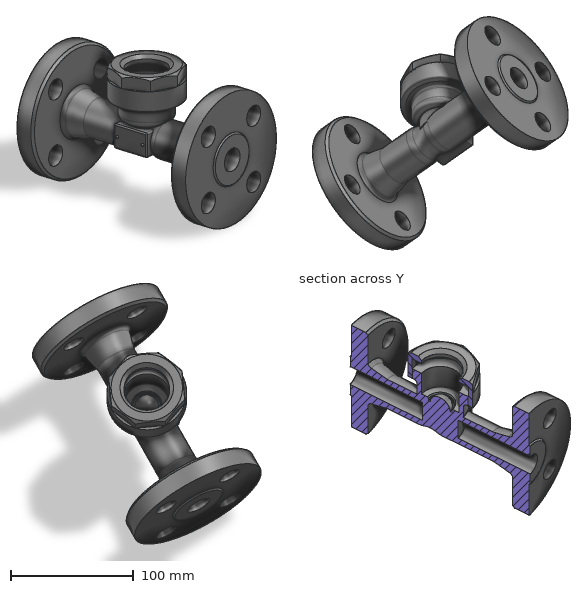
import cadquery as cq
import math

overall_length = 180.0
pipe_diameter = 34.0
flow_bore_diameter = 20.0
flow_bore_depth = 72.0

flange_diameter = 117.0
flange_thickness = 16.7
flange_chamfer = 2.2
raised_face_height = 1.3
raised_face_diameter = 46.0
bolt_hole_diameter = 18.0
bolt_circle_diameter = 82.5
bolt_count = 4

hub_start = 52.5
hub_end = 68.5
hub_end_diameter = 41.4
hub_root_diameter = 47.0

waist_center = 9.9
waist_half_length = 12.2
waist_depth = 2.3

stem_diameter = pipe_diameter
neck_diameter = 47.0
neck_underside = 12.8
bowl_radius = 6.1
flare_start = 29.2
thread_diameter = 56.0
chamber_top = 43.4
chamber_bore_diameter = 37.0
chamber_floor = 19.8

well_rim_diameter = 25.0
well_diameter = 23.0
well_depth = 3.6
dome_diameter = 20.0

pad_width = 34.5
pad_height = 21.8
pad_face_distance = 21.5
pad_chamfer = 1.3
pad_corner_radius = 1.5
rivet_diameter = 2.7
rivet_offset = 13.3

nut_diameter = 65.0
nut_bottom = 32.0
nut_top = 61.0
nut_flats = 8
nut_flats_bottom = 49.7
nut_lip_underside = 54.2
nut_face_diameter = 58.1
nut_face_chamfer_angle = 30.0
nut_bottom_fillet = 0.7
window_diameter = 37.0
window_chamfer = 3.2

pipe_radius = pipe_diameter / 2
raised_face_x = overall_length / 2
flange_front_x = raised_face_x - raised_face_height
flange_back_x = flange_front_x - flange_thickness


def revolve_about_x(profile):
    return profile.close().revolve(360, (0, 0, 0), (1, 0, 0))


def revolve_about_z(profile):
    return profile.close().revolve(360, (0, 0, 0), (0, 1, 0))


def pipe():
    """Straight pipe with a smooth waist made of four equal arcs."""
    half_step = waist_half_length / 2
    waist_radius = pipe_radius - waist_depth
    mid_radius = pipe_radius - waist_depth / 2
    profile = (
        cq.Workplane("XY")
        .moveTo(-hub_start, 0)
        .lineTo(-hub_start, pipe_radius)
        .lineTo(waist_center - waist_half_length, pipe_radius)
        .tangentArcPoint((waist_center - half_step, mid_radius), relative=False)
        .tangentArcPoint((waist_center, waist_radius), relative=False)
        .tangentArcPoint((waist_center + half_step, mid_radius), relative=False)
        .tangentArcPoint((waist_center + waist_half_length, pipe_radius), relative=False)
        .lineTo(hub_start, pipe_radius)
        .lineTo(hub_start, 0)
    )
    return revolve_about_x(profile)


def flange_end():
    """Hub, flange and raised face at the +X end."""
    flange_radius = flange_diameter / 2
    face_radius = raised_face_diameter / 2
    profile = (
        cq.Workplane("XY")
        .moveTo(hub_start, 0)
        .lineTo(hub_start, pipe_radius)
        .lineTo(hub_end, hub_end_diameter / 2)
        .tangentArcPoint((flange_back_x, hub_root_diameter / 2), relative=False)
        .lineTo(flange_back_x, flange_radius - flange_chamfer)
        .lineTo(flange_back_x + flange_chamfer, flange_radius)
        .lineTo(flange_front_x, flange_radius)
        .lineTo(flange_front_x, face_radius)
        .lineTo(raised_face_x, face_radius - raised_face_height)
        .lineTo(raised_face_x, 0)
    )
    bolt_holes = (
        cq.Workplane("YZ", origin=(flange_back_x, 0, 0))
        .polarArray(bolt_circle_diameter / 2, 180 / bolt_count, 360, bolt_count)
        .circle(bolt_hole_diameter / 2)
        .extrude(flange_thickness)
    )
    return revolve_about_x(profile).cut(bolt_holes)


def flow_bore():
    """Blind bore entering from the +X end."""
    return (
        cq.Workplane("YZ", origin=(raised_face_x - flow_bore_depth, 0, 0))
        .circle(flow_bore_diameter / 2)
        .extrude(flow_bore_depth)
    )


def stem():
    """Upright branch joining the pipe to the underside of the neck."""
    return cq.Workplane("XY").circle(stem_diameter / 2).extrude(neck_underside)


def neck():
    """Solid outside of the chamber, from the rounded bowl up to the threaded rim."""
    neck_radius = neck_diameter / 2
    flare_radius = nut_bottom - flare_start
    profile = (
        cq.Workplane("XZ")
        .moveTo(0, neck_underside)
        .lineTo(neck_radius - bowl_radius, neck_underside)
        .tangentArcPoint((neck_radius, neck_underside + bowl_radius), relative=False)
        .lineTo(neck_radius, flare_start)
        .tangentArcPoint((neck_radius + flare_radius, nut_bottom), relative=False)
        .lineTo(thread_diameter / 2, nut_bottom)
        .lineTo(thread_diameter / 2, chamber_top)
        .lineTo(0, chamber_top)
    )
    return revolve_about_z(profile)


def chamber_cavity():
    """Chamber bore with the chamfered well below it, leaving the dome standing."""
    well_radius = well_diameter / 2
    rim_radius = well_rim_diameter / 2
    dome_radius = dome_diameter / 2
    well_floor = chamber_floor - well_depth
    profile = (
        cq.Workplane("XZ")
        .moveTo(0, chamber_top)
        .lineTo(chamber_bore_diameter / 2, chamber_top)
        .lineTo(chamber_bore_diameter / 2, chamber_floor)
        .lineTo(rim_radius, chamber_floor)
        .lineTo(well_radius, chamber_floor - (rim_radius - well_radius))
        .lineTo(well_radius, well_floor)
        .lineTo(dome_radius, well_floor)
        .radiusArc((0, well_floor + dome_radius), -dome_radius)
    )
    return revolve_about_z(profile)


def name_plate_pad():
    """Chamfered rectangular pad with two round-headed rivets."""
    pad = (
        cq.Workplane("XZ")
        .rect(pad_width, pad_height)
        .extrude(pad_face_distance)
        .edges("|Y")
        .fillet(pad_corner_radius)
        .faces("<Y")
        .chamfer(pad_chamfer)
    )
    for side in (-1, 1):
        head = cq.Workplane("XY").sphere(rivet_diameter / 2)
        pad = pad.union(head.translate((side * rivet_offset, -pad_face_distance, 0)))
    return pad


def build_body():
    """Flanged body: pipe run, two end flanges, name plate pad and upright chamber."""
    right_end = flange_end()
    right_bore = flow_bore()
    return (
        pipe()
        .union(right_end)
        .union(right_end.mirror("YZ"))
        .union(name_plate_pad())
        .union(stem())
        .union(neck())
        .cut(chamber_cavity())
        .cut(right_bore)
        .cut(right_bore.mirror("YZ"))
    )


def build_nut():
    """Cap nut: round skirt, octagonal head, threaded recess and chamfered window."""
    nut_radius = nut_diameter / 2
    face_radius = nut_face_diameter / 2
    face_chamfer_drop = (nut_radius - face_radius) * math.tan(math.radians(nut_face_chamfer_angle))
    skirt = (
        cq.Workplane("XY", origin=(0, 0, nut_bottom))
        .circle(nut_radius)
        .extrude(nut_flats_bottom - nut_bottom)
        .edges("<Z")
        .fillet(nut_bottom_fillet)
    )
    octagon = (
        cq.Workplane("XY", origin=(0, 0, nut_flats_bottom))
        .polygon(nut_flats, nut_diameter)
        .extrude(nut_top - nut_flats_bottom)
    )
    head_envelope = revolve_about_z(
        cq.Workplane("XZ")
        .moveTo(0, nut_flats_bottom)
        .lineTo(nut_radius, nut_flats_bottom)
        .lineTo(nut_radius, nut_top - face_chamfer_drop)
        .lineTo(face_radius, nut_top)
        .lineTo(0, nut_top)
    )
    recess = (
        cq.Workplane("XY", origin=(0, 0, nut_bottom))
        .circle(thread_diameter / 2)
        .extrude(nut_lip_underside - nut_bottom)
    )
    window_radius = window_diameter / 2
    window = revolve_about_z(
        cq.Workplane("XZ")
        .moveTo(0, nut_lip_underside)
        .lineTo(window_radius, nut_lip_underside)
        .lineTo(window_radius, nut_top - window_chamfer)
        .lineTo(window_radius + window_chamfer, nut_top)
        .lineTo(0, nut_top)
    )
    return skirt.union(octagon.intersect(head_envelope)).cut(recess).cut(window)


body = build_body()
nut = build_nut()

result = cq.Compound.makeCompound([body.solids().val(), nut.solids().val()])